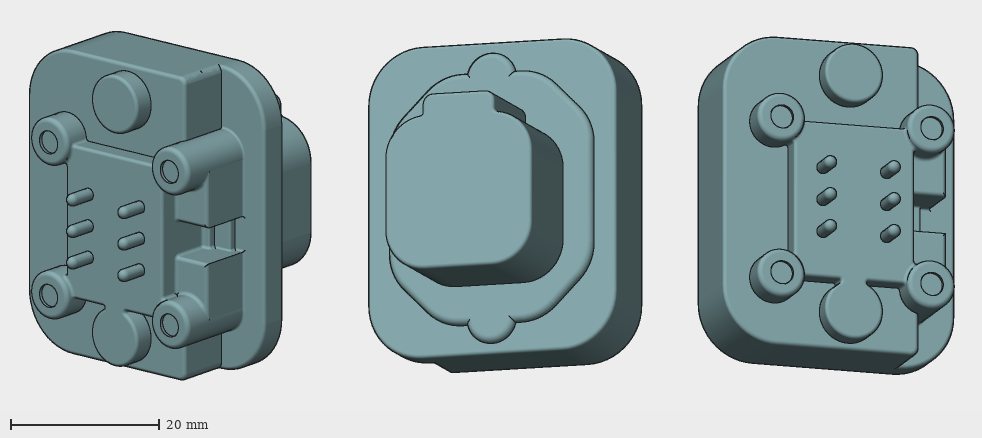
import cadquery as cq
import math


EPS = 0.01

LENGTH = 33.42
FLANGE_WIDTH = 35.25
FLANGE_HEIGHT = 42.8
CORNER_R = 7.7
FLANGE_BACK = -3.95
BODY_BACK = -11.6
BODY_END_X = 10.05
BODY_CORNER_R = 1.0
EDGE_R = 0.5

COLLAR_TOP = 0.92
COLLAR_WIDTH = 29.0
COLLAR_HEIGHT = 34.5
COLLAR_CORNER_CUT = 7.45
COLLAR_CORNER_R = 7.0
COLLAR_LOBE_R = 3.5
COLLAR_EDGE_R = 0.9

SOCKET_TOP = 14.75
SOCKET_WIDTH = 20.8
SOCKET_Z_MIN = -12.0
SOCKET_Z_MAX = 9.12
SOCKET_CORNER_R = 5.65
KEY_HALF_WIDTH = 5.09
KEY_Z_MAX = 12.0
KEY_CORNER_R = 1.45
KEY_ROOT_R = 0.5

CONTACT_Z = -1.53
PLATE_BACK = -14.5
PLATE_HALF_WIDTH = 8.5
PLATE_HALF_HEIGHT = 10.77
PLATE_EDGE_R = 0.45
BOSS_Z = 16.42
BOSS_R = 4.07
NECK_R = 0.3

PIN_TIP = SOCKET_TOP - LENGTH
PIN_R = 0.85
PIN_X = 4.52
PIN_PITCH = 4.44

POST_BACK = -15.6
POST_X = 10.63
POST_R = 3.33
POST_SPACING_Z = 21.66
POST_Z_LOW = CONTACT_Z - POST_SPACING_Z / 2
POST_Z_HIGH = CONTACT_Z + POST_SPACING_Z / 2
POST_CENTRES = [(x, z) for x in (-POST_X, POST_X) for z in (POST_Z_LOW, POST_Z_HIGH)]
POST_EDGE_R = 0.65
POST_HOLE_R = 1.6
POST_HOLE_DEPTH = 0.5

PAD_SETBACK = 0.02
PAD_END_X = POST_X + POST_R - PAD_SETBACK
PAD_EDGE_R = 0.5
PAD_GAP = 5.06
STEP_HIGH_X = 9.66
STEP_HIGH_BACK = -6.0
STEP_LOW_X = 12.46
STEP_LOW_BACK = -4.95
STEP_EDGE_R = 0.29

POST_PLATE_R = 0.44
POST_PAD_R = 0.5
PLATE_FOOT_R = 0.44
FLOOR_R = 0.3


def block(x_min, x_max, y_min, y_max, z_min, z_max):
    size = (x_max - x_min, y_max - y_min, z_max - z_min)
    return cq.Workplane("XY").box(*size, centered=False).translate((x_min, y_min, z_min))


def sketch_at(y):
    """Workplane with local axes X and Z; extruding from it goes toward -Y."""
    return cq.Workplane("XZ", origin=(0, y, 0))


def cylinder(x, z, radius, y_min, y_max):
    return sketch_at(y_max).center(x, z).circle(radius).extrude(y_max - y_min)


def join(part, others):
    for other in others:
        part = part.union(other)
    return part


def fillet_where(part, condition, radius):
    """Fillet every edge of the part that meets the condition."""
    edges = [edge for edge in part.edges().vals() if condition(edge)]
    return part.newObject(edges).fillet(radius)


def lies_at_y(edge, y):
    box = edge.BoundingBox()
    return abs(box.ymin - y) < EPS and abs(box.ymax - y) < EPS


def lies_on_post(edge, x, z):
    points = edge.positions([0, 0.3, 0.5, 0.8, 1])
    return all(abs(math.hypot(point.x - x, point.z - z) - POST_R) < EPS for point in points)


def rounded_slab(back):
    slab = sketch_at(0).rect(FLANGE_WIDTH, FLANGE_HEIGHT).extrude(-back)
    return slab.edges("|Y").fillet(CORNER_R)


def make_flange():
    return rounded_slab(FLANGE_BACK).faces("<Y or >Y").edges().fillet(EDGE_R)


def make_body():
    beyond_body = block(BODY_END_X, FLANGE_WIDTH, BODY_BACK, 0, -FLANGE_HEIGHT, FLANGE_HEIGHT)
    body = rounded_slab(BODY_BACK).cut(beyond_body)
    body = body.faces(">X").edges("|Y").fillet(BODY_CORNER_R)
    body = body.faces("<Y or >Y").edges("not(>X and >Y)").fillet(EDGE_R)
    recess = block(PLATE_HALF_WIDTH, FLANGE_WIDTH, BODY_BACK, FLANGE_BACK, POST_Z_LOW, POST_Z_HIGH)
    return body.cut(recess)


def make_collar():
    collar = sketch_at(COLLAR_TOP).rect(COLLAR_WIDTH, COLLAR_HEIGHT).extrude(COLLAR_TOP)
    collar = collar.edges("|Y").chamfer(COLLAR_CORNER_CUT).edges("|Y").fillet(COLLAR_CORNER_R)
    for z in (-BOSS_Z, BOSS_Z):
        collar = collar.union(cylinder(0, z, COLLAR_LOBE_R, 0, COLLAR_TOP))
    return collar.faces(">Y").edges().fillet(COLLAR_EDGE_R)


def make_socket():
    half_width = SOCKET_WIDTH / 2
    socket = block(-half_width, half_width, 0, SOCKET_TOP, SOCKET_Z_MIN, SOCKET_Z_MAX)
    socket = socket.edges("|Y").fillet(SOCKET_CORNER_R)
    key = block(-KEY_HALF_WIDTH, KEY_HALF_WIDTH, 0, SOCKET_TOP, 0, KEY_Z_MAX)
    key = key.edges("|Y and >Z").fillet(KEY_CORNER_R)
    root_zone = cq.selectors.BoxSelector(
        (-KEY_HALF_WIDTH - EPS, 0, SOCKET_Z_MAX - KEY_ROOT_R),
        (KEY_HALF_WIDTH + EPS, SOCKET_TOP, SOCKET_Z_MAX + EPS),
    )
    socket = socket.union(key).edges("|Y").edges(root_zone).fillet(KEY_ROOT_R)
    return socket.faces(">Y").edges().fillet(EDGE_R)


def make_neck(plate_edge_z):
    """Link between plate and lower boss, its sides arcs tangent to the plate edge and to the boss."""
    arc_z = plate_edge_z - NECK_R
    rise = arc_z + BOSS_Z
    arc_x = math.sqrt((BOSS_R + NECK_R) ** 2 - rise ** 2)
    share = BOSS_R / (BOSS_R + NECK_R)
    touch = (arc_x * share, rise * share - BOSS_Z)
    middle_angle = (math.pi / 2 + math.pi + math.atan2(rise, arc_x)) / 2
    middle = (arc_x + NECK_R * math.cos(middle_angle), arc_z + NECK_R * math.sin(middle_angle))
    outline = (
        sketch_at(FLANGE_BACK)
        .moveTo(0, -BOSS_Z)
        .lineTo(*touch)
        .threePointArc(middle, (arc_x, plate_edge_z))
        .lineTo(arc_x, CONTACT_Z)
        .lineTo(0, CONTACT_Z)
        .close()
    )
    half = outline.extrude(FLANGE_BACK - PLATE_BACK)
    return half.union(half.mirror("YZ"))


def make_plate():
    z_min = CONTACT_Z - PLATE_HALF_HEIGHT
    z_max = CONTACT_Z + PLATE_HALF_HEIGHT
    plate = block(-PLATE_HALF_WIDTH, PLATE_HALF_WIDTH, PLATE_BACK, FLANGE_BACK, z_min, z_max)
    plate = plate.union(make_neck(z_min))
    for z in (-BOSS_Z, BOSS_Z):
        plate = plate.union(cylinder(0, z, BOSS_R, PLATE_BACK, FLANGE_BACK))
    return plate.faces("<Y").edges().fillet(PLATE_EDGE_R)


def make_pads():
    gap_edge_z = CONTACT_Z - PAD_GAP / 2
    lower = block(PLATE_HALF_WIDTH, PAD_END_X, BODY_BACK, FLANGE_BACK, POST_Z_LOW, gap_edge_z)
    lower = lower.faces("<Y").edges(">X or >Z").fillet(PAD_EDGE_R)
    return lower.union(lower.mirror("XY", (0, 0, CONTACT_Z)))


def make_step(wall_x, floor_y):
    step = block(PLATE_HALF_WIDTH, wall_x, floor_y, FLANGE_BACK, POST_Z_LOW, POST_Z_HIGH)
    return step.edges("<Y and >X").fillet(STEP_EDGE_R)


def make_post(x, z):
    post = cylinder(x, z, POST_R, POST_BACK, FLANGE_BACK).faces("<Y").edges().fillet(POST_EDGE_R)
    return post.cut(cylinder(x, z, POST_HOLE_R, POST_BACK, POST_BACK + POST_HOLE_DEPTH))


def make_pin(x, z):
    tip_centre = PIN_TIP + PIN_R
    tip = cq.Workplane("XY").sphere(PIN_R).translate((x, tip_centre, z))
    return cylinder(x, z, PIN_R, tip_centre, PLATE_BACK).union(tip)


def joins_post_to_plate(edge):
    if edge.Center().y > BODY_BACK - EPS or edge.BoundingBox().ymin < PLATE_BACK - EPS:
        return False
    return any(lies_on_post(edge, x, z) for x, z in POST_CENTRES)


def joins_post_to_pad(edge):
    centre = edge.Center()
    if edge.BoundingBox().ymin < BODY_BACK - EPS or centre.y > BODY_BACK + PAD_EDGE_R:
        return False
    if centre.x < PLATE_HALF_WIDTH or not POST_Z_LOW < centre.z < POST_Z_HIGH:
        return False
    return any(lies_on_post(edge, POST_X, z) for z in (POST_Z_LOW, POST_Z_HIGH))


def runs_along_plate_foot(edge):
    """Edges of the plate side below the plate top, and of the upper step against the pads."""
    box = edge.BoundingBox()
    on_side = abs(box.xmin - PLATE_HALF_WIDTH) < EPS and abs(box.xmax - PLATE_HALF_WIDTH) < EPS
    in_depth = box.ymin > BODY_BACK - EPS and box.ymax < STEP_HIGH_BACK + EPS
    on_step = lies_at_y(edge, STEP_HIGH_BACK) and box.zmax - box.zmin < EPS
    return (on_side and in_depth) or on_step


def runs_along_floor(edge):
    """Feet of the pads and steps on the flange and on the lower step.

    The fillet made from these edges carries on around the feet of the right-hand posts.
    """
    box = edge.BoundingBox()
    inside = box.xmin > STEP_HIGH_X - EPS and box.xmax < POST_X + POST_R + EPS
    across_step = lies_at_y(edge, STEP_LOW_BACK) and box.zmax - box.zmin < EPS
    on_flange = lies_at_y(edge, FLANGE_BACK) and edge.Center().x > BODY_END_X + EPS
    along_step = abs(box.xmin - STEP_LOW_X) < EPS and abs(box.xmax - STEP_LOW_X) < EPS
    return inside and (across_step or (on_flange and not along_step))


plate = make_plate()
pads = make_pads()
steps = make_step(STEP_HIGH_X, STEP_HIGH_BACK).union(make_step(STEP_LOW_X, STEP_LOW_BACK))
posts = [make_post(x, z) for x, z in POST_CENTRES]

plate_with_posts = fillet_where(join(plate, posts), joins_post_to_plate, POST_PLATE_R)
pads_with_posts = join(make_flange(), [pads, steps] + posts)
plate_with_pads = fillet_where(join(pads_with_posts, [plate]), runs_along_plate_foot, PLATE_FOOT_R)
pads_with_posts = fillet_where(pads_with_posts, joins_post_to_pad, POST_PAD_R)
pads_with_posts = fillet_where(pads_with_posts, runs_along_floor, FLOOR_R)
result = join(make_body(), [pads_with_posts, plate_with_posts, plate_with_pads])

result = result.union(make_collar()).union(make_socket())
for pin_x in (-PIN_X, PIN_X):
    for row in (-1, 0, 1):
        result = result.union(make_pin(pin_x, CONTACT_Z + row * PIN_PITCH))